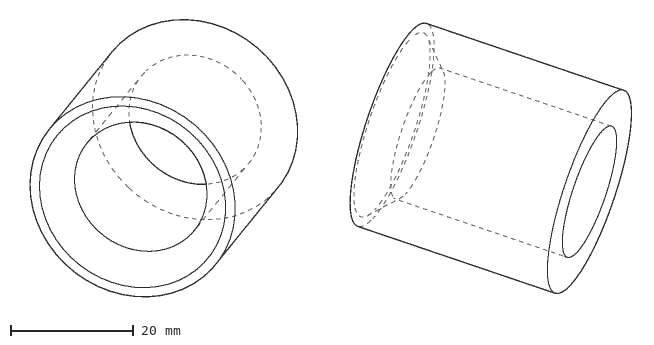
import cadquery as cq
import math

outer_diameter = 35.0
length = outer_diameter
bore_diameter = 22.6
mouth_diameter = 31.75
mouth_depth = (mouth_diameter - bore_diameter) / 2

elevation = math.radians(23)
swing = math.radians(26.7)
axis = cq.Vector(
    math.cos(elevation) * math.sin(swing),
    -math.cos(elevation) * math.cos(swing),
    math.sin(elevation),
)

plain_end = cq.Plane(origin=axis * (-length / 2), normal=axis)


def sleeve():
    """Revolve the wall section about the sleeve axis."""
    outer_radius = outer_diameter / 2
    bore_radius = bore_diameter / 2
    section = (
        cq.Workplane("XZ")
        .moveTo(bore_radius, 0)
        .lineTo(outer_radius, 0)
        .lineTo(outer_radius, length)
        .lineTo(mouth_diameter / 2, length)
        .lineTo(bore_radius, length - mouth_depth)
        .close()
    )
    return section.revolve(360, (0, 0, 0), (0, 1, 0))


result = cq.Workplane(obj=sleeve().val().moved(cq.Location(plain_end)))